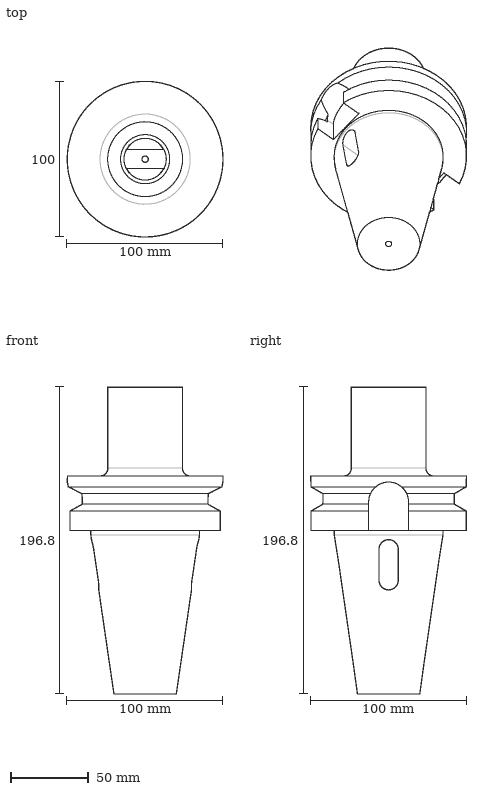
import cadquery as cq
import math

total_height = 196.8

shank_radius = 34.93
shank_taper_length = 102.0
shank_taper = 7 / 24
shank_tip_radius = shank_radius - shank_taper_length * shank_taper / 2

flange_radius = 50.0
flange_bottom = 104.9
flange_height = 35.0
flange_top = flange_bottom + flange_height
groove_floor_radius = 42.3
groove_side_angle = 60.0
groove_floor_width = 6.7
groove_center_height = 125.2

sleeve_radius = 24.0
sleeve_fillet = 5.0

bore_mouth_radius = 15.7
bore_floor_radius = 13.4
bore_depth = 106.3
vent_diameter = 4.0

slot_width = 12.2
slot_bottom = 67.0
slot_top = 99.0

keyway_width = 25.5
keyway_top = 136.0
keyway_floor_distance = 35.5


def make_body():
    """Revolve the outer outline of shank, flange and sleeve."""
    floor_low = groove_center_height - groove_floor_width / 2
    floor_high = groove_center_height + groove_floor_width / 2
    side_rise = (flange_radius - groove_floor_radius) / math.tan(math.radians(groove_side_angle))
    arc_middle = sleeve_fillet * (1 - math.sqrt(0.5))
    return (
        cq.Workplane("XZ")
        .lineTo(shank_tip_radius, 0)
        .lineTo(shank_radius, shank_taper_length)
        .lineTo(shank_radius, flange_bottom)
        .lineTo(flange_radius, flange_bottom)
        .lineTo(flange_radius, floor_low - side_rise)
        .lineTo(groove_floor_radius, floor_low)
        .lineTo(groove_floor_radius, floor_high)
        .lineTo(flange_radius, floor_high + side_rise)
        .lineTo(flange_radius, flange_top)
        .lineTo(sleeve_radius + sleeve_fillet, flange_top)
        .threePointArc(
            (sleeve_radius + arc_middle, flange_top + arc_middle),
            (sleeve_radius, flange_top + sleeve_fillet),
        )
        .lineTo(sleeve_radius, total_height)
        .lineTo(0, total_height)
        .close()
        .revolve(360, (0, 0, 0), (0, 1, 0))
    )


def make_socket():
    """Tapered bore from the top face."""
    return (
        cq.Workplane("XY", origin=(0, 0, total_height))
        .circle(bore_mouth_radius)
        .workplane(offset=-bore_depth)
        .circle(bore_floor_radius)
        .loft()
    )


def make_vent():
    """Small axial hole from the tip up into the drift slot."""
    return cq.Workplane("XY").circle(vent_diameter / 2).extrude((slot_bottom + slot_top) / 2)


def make_drift_slot():
    """Upright rounded slot crossing the shank along X."""
    return (
        cq.Workplane("YZ")
        .center(0, (slot_bottom + slot_top) / 2)
        .slot2D(slot_top - slot_bottom, slot_width, 90)
        .extrude(flange_radius, both=True)
    )


def make_keyway(side):
    """Round-topped keyway cutter on the +X (side = 1) or -X (side = -1) side."""
    half_width = keyway_width / 2
    arc_height = keyway_top - half_width
    return (
        cq.Workplane("YZ", origin=(side * keyway_floor_distance, 0, 0))
        .moveTo(-half_width, flange_bottom)
        .lineTo(half_width, flange_bottom)
        .lineTo(half_width, arc_height)
        .threePointArc((0, keyway_top), (-half_width, arc_height))
        .close()
        .extrude(side * flange_radius)
    )


result = make_body().cut(make_socket()).cut(make_drift_slot()).cut(make_vent())
for keyway_side in (-1, 1):
    result = result.cut(make_keyway(keyway_side))